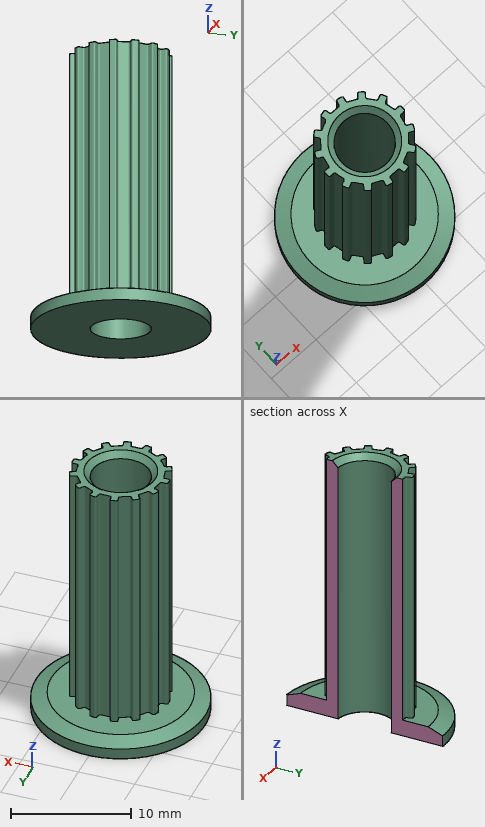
import cadquery as cq
import math

total_height = 24.0

flange_diameter = 15.0
flange_flat_diameter = 12.25
flange_rim_height = 1.0
flange_height = 1.5

tooth_count = 14
tip_diameter = 8.55
root_across_flats = 7.32
tooth_width = 0.65
tooth_fillet = 0.15

bore_diameter = 5.1
bore_mouth_diameter = 6.15
bore_chamfer_depth = 0.53


def make_flange():
    """Disc whose upper rim slopes down to the edge."""
    rim_radius = flange_diameter / 2
    flat_radius = flange_flat_diameter / 2
    profile = (
        cq.Workplane("XZ")
        .lineTo(rim_radius, 0)
        .lineTo(rim_radius, flange_rim_height)
        .lineTo(flat_radius, flange_height)
        .lineTo(0, flange_height)
        .close()
    )
    return profile.revolve(360, (0, 0, 0), (0, 1, 0))


def make_splined_shaft():
    """Toothed column with parallel-sided teeth, the first one centred on +X."""
    pitch_angle = 2 * math.pi / tooth_count
    half_pitch = pitch_angle / 2
    half_width = tooth_width / 2
    tip_radius = tip_diameter / 2
    root_reach = (root_across_flats / 2 - half_width * math.sin(half_pitch)) / math.cos(half_pitch)
    tooth_outline = [
        (root_reach, -half_width),
        (tip_radius, -half_width),
        (tip_radius, half_width),
        (root_reach, half_width),
    ]

    points = []
    for tooth in range(tooth_count):
        cosine = math.cos(tooth * pitch_angle)
        sine = math.sin(tooth * pitch_angle)
        for x, y in tooth_outline:
            points.append((x * cosine - y * sine, x * sine + y * cosine))

    column = cq.Workplane("XY").polyline(points).close().extrude(total_height)
    return column.edges("|Z").fillet(tooth_fillet)


def make_bore():
    """Through hole with a conical mouth at the top."""
    bore_radius = bore_diameter / 2
    mouth_radius = bore_mouth_diameter / 2
    profile = (
        cq.Workplane("XZ")
        .lineTo(bore_radius, 0)
        .lineTo(bore_radius, total_height - bore_chamfer_depth)
        .lineTo(mouth_radius, total_height)
        .lineTo(0, total_height)
        .close()
    )
    return profile.revolve(360, (0, 0, 0), (0, 1, 0))


result = make_flange().union(make_splined_shaft()).cut(make_bore())